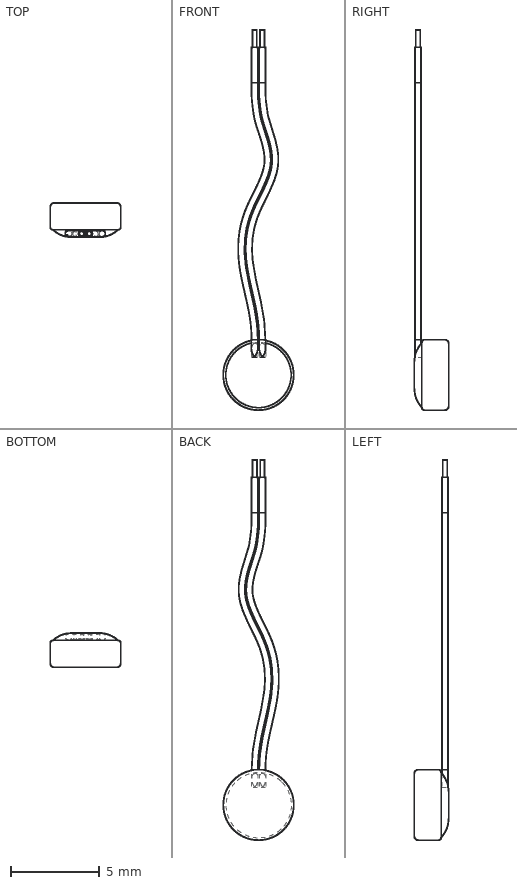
import cadquery as cq
import math

HOUSING_RADIUS = 2.0
HOUSING_DEPTH = 1.95
BACK_FILLET = 0.24
FRONT_FILLET = 0.15
DOME_HEIGHT = 0.43
DOME_FLAT_RADIUS = 0.75

LEAD_PITCH = 0.43
LEAD_Y = 0.22
LEAD_RADIUS = 0.183
CORE_RADIUS = 0.13
STUB_BOTTOM = 0.99
SLEEVE_LENGTH = 2.0
CORE_LENGTH = 0.99
TOTAL_HEIGHT = 21.5
PATH_SAMPLES = 16

CABLE_BOTTOM = HOUSING_RADIUS
CORE_TOP = TOTAL_HEIGHT - HOUSING_RADIUS
SLEEVE_TOP = CORE_TOP - CORE_LENGTH
CABLE_TOP = SLEEVE_TOP - SLEEVE_LENGTH

CABLE_MIDLINE = [
    (0, CABLE_BOTTOM),
    (-0.28, 4.21),
    (-0.75, 6.9),
    (-0.45, 8.97),
    (0.3, 10.6),
    (0.73, 12.02),
    (0.5, 13.45),
    (0.17, 14.51),
    (0, CABLE_TOP),
]


def make_housing():
    """Round can with a filleted rim and a shallow dome that is tangent to its flat front."""
    dome_base_radius = HOUSING_RADIUS - FRONT_FILLET
    dome_width = dome_base_radius - DOME_FLAT_RADIUS
    dome_arc_radius = (dome_width**2 + DOME_HEIGHT**2) / (2 * DOME_HEIGHT)
    half_sweep = math.asin(dome_width / dome_arc_radius) / 2
    dome_mid = (
        DOME_FLAT_RADIUS + dome_arc_radius * math.sin(half_sweep),
        dome_arc_radius * (1 - math.cos(half_sweep)),
    )
    profile = (
        cq.Workplane("XY")
        .lineTo(DOME_FLAT_RADIUS, 0)
        .threePointArc(dome_mid, (dome_base_radius, DOME_HEIGHT))
        .radiusArc((HOUSING_RADIUS, DOME_HEIGHT + FRONT_FILLET), -FRONT_FILLET)
        .lineTo(HOUSING_RADIUS, HOUSING_DEPTH - BACK_FILLET)
        .radiusArc((HOUSING_RADIUS - BACK_FILLET, HOUSING_DEPTH), -BACK_FILLET)
        .lineTo(0, HOUSING_DEPTH)
        .close()
    )
    return profile.revolve(360, (0, 0, 0), (0, 1, 0))


def make_rod(x, radius, bottom, top):
    """Straight vertical round rod in the plane of the leads."""
    return cq.Workplane("XY", origin=(x, LEAD_Y, bottom)).circle(radius).extrude(top - bottom)


def make_cable(offset):
    """Wavy round cable that keeps a constant sideways offset from the midline."""
    up = cq.Vector(0, 0, 1)
    midline = cq.Edge.makeSpline(
        [cq.Vector(x, LEAD_Y, z) for x, z in CABLE_MIDLINE],
        tangents=[up, up],
    )
    path_points = []
    for i in range(PATH_SAMPLES + 1):
        fraction = i / PATH_SAMPLES
        tangent = midline.tangentAt(fraction)
        sideways = cq.Vector(tangent.z, 0, -tangent.x)
        path_points.append(midline.positionAt(fraction) + sideways * offset)
    path = cq.Workplane(cq.Edge.makeSpline(path_points, tangents=[up, up]))
    start = cq.Workplane("XY", origin=(offset, LEAD_Y, CABLE_BOTTOM))
    return start.circle(LEAD_RADIUS).sweep(path)


housing = make_housing()
leads = []
for lead_x in (-LEAD_PITCH / 2, LEAD_PITCH / 2):
    stub = make_rod(lead_x, LEAD_RADIUS, STUB_BOTTOM, CABLE_BOTTOM)
    cable = make_cable(lead_x)
    sleeve = make_rod(lead_x, LEAD_RADIUS, CABLE_TOP, SLEEVE_TOP)
    core = make_rod(lead_x, CORE_RADIUS, SLEEVE_TOP, CORE_TOP)
    housing = housing.cut(stub)
    leads += [stub.val(), cable.val(), sleeve.val(), core.val()]

result = cq.Compound.makeCompound([housing.val(), *leads])